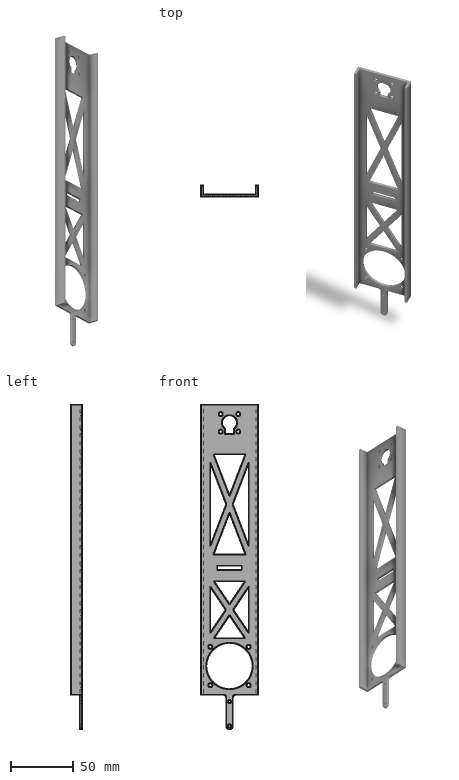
import cadquery as cq
import math

length = 260.0
width = 46.0
depth = 9.0
wall = 2.0
tab_length = 27.5
body_length = length - tab_length

tab_width = 5.5
tab_root_fillet = 2.0
tab_hole_diameter = 2.3
tab_hole_spacing = 19.5

screw_hole_diameter = 3.0
keyhole_z = -14.5
keyhole_diameter = 12.0
keyhole_slot_width = 7.0
keyhole_slot_bottom_z = -23.5
keyhole_screw_pitch = 14.0

window_width = 30.7
bar_width = 5.0
large_window_z = -79.8
large_window_height = 80.0
small_window_z = -164.4
small_window_height = 45.5

slot_z = -130.8
slot_width = 19.5
slot_height = 3.0

round_opening_z = -209.3
round_opening_diameter = 37.0
round_opening_screw_pitch = 30.7


def web_plane(z=0):
    """Workplane on the web's outer face, extruding inward through negative distances."""
    return cq.Workplane("XZ", origin=(0, 0, z))


def square_of_holes(z, pitch):
    return web_plane(z).rect(pitch, pitch, forConstruction=True).vertices().circle(
        screw_hole_diameter / 2
    ).extrude(-wall)


def crossed_window(z, height):
    """Rectangular opening with bars left along both diagonals."""
    opening = web_plane(z).rect(window_width, height).extrude(-wall)
    diagonal = math.hypot(window_width, height)
    angle = math.degrees(math.atan2(height, window_width))
    for tilt in (angle, -angle):
        bar = web_plane().rect(2 * diagonal, bar_width).extrude(-wall)
        opening = opening.cut(bar.rotate((0, 0, 0), (0, 1, 0), tilt).translate((0, 0, z)))
    return opening


def make_channel():
    outer = cq.Workplane("XY").box(width, depth, body_length, centered=(True, False, False))
    inner = cq.Workplane("XY").box(
        width - 2 * wall, depth - wall, body_length, centered=(True, False, False)
    )
    return outer.cut(inner.translate((0, wall, 0))).translate((0, 0, -body_length))


def make_tab():
    """Round-ended strip with concave fillets where it meets the web."""
    half = tab_width / 2
    root = half + tab_root_fillet
    fillet_z = -body_length - tab_root_fillet
    fillet_mid = tab_root_fillet * math.sqrt(0.5)
    end_center_z = half - length
    strip = (
        web_plane()
        .moveTo(-root, -body_length)
        .threePointArc((fillet_mid - root, fillet_z + fillet_mid), (-half, fillet_z))
        .lineTo(-half, end_center_z)
        .threePointArc((0, -length), (half, end_center_z))
        .lineTo(half, fillet_z)
        .threePointArc((root - fillet_mid, fillet_z + fillet_mid), (root, -body_length))
        .close()
        .extrude(-wall)
    )
    holes = (
        web_plane(end_center_z)
        .pushPoints([(0, 0), (0, tab_hole_spacing)])
        .circle(tab_hole_diameter / 2)
        .extrude(-wall)
    )
    return strip.cut(holes)


def make_keyhole():
    slot_height_below_center = keyhole_z - keyhole_slot_bottom_z
    slot = (
        web_plane(keyhole_z - slot_height_below_center / 2)
        .rect(keyhole_slot_width, slot_height_below_center)
        .extrude(-wall)
    )
    return web_plane(keyhole_z).circle(keyhole_diameter / 2).extrude(-wall).union(slot)


openings = [
    make_keyhole(),
    square_of_holes(keyhole_z, keyhole_screw_pitch),
    crossed_window(large_window_z, large_window_height),
    web_plane(slot_z).rect(slot_width, slot_height).extrude(-wall),
    crossed_window(small_window_z, small_window_height),
    web_plane(round_opening_z).circle(round_opening_diameter / 2).extrude(-wall),
    square_of_holes(round_opening_z, round_opening_screw_pitch),
]

result = make_channel().union(make_tab())
for opening in openings:
    result = result.cut(opening)